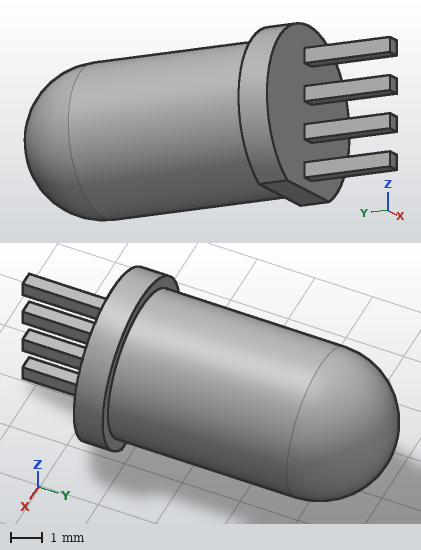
import cadquery as cq

total_length = 12.7
body_radius = 2.5
flange_diameter = 5.8
flange_thickness = 1.0
lead_length = 3.0
lead_width = 0.5
lead_pitch = 1.25
lead_count = 4

body_end = total_length - lead_length - body_radius
dome_tip = body_end + body_radius


def make_lens():
    """Cylindrical body with its hemispherical dome, revolved about Y."""
    dome_mid = body_radius * 0.5 ** 0.5
    return (
        cq.Workplane("XY")
        .lineTo(body_radius, 0)
        .lineTo(body_radius, body_end)
        .threePointArc((dome_mid, body_end + dome_mid), (0, dome_tip))
        .close()
        .revolve(360, (0, 0, 0), (0, 1, 0))
    )


def make_flange():
    """Round flange with a flat underneath, level with the bottom of the body."""
    flange_radius = flange_diameter / 2
    flange_height = flange_radius + body_radius
    disc = cq.Workplane("XZ").circle(flange_radius).extrude(-flange_thickness)
    keep = (
        cq.Workplane("XY")
        .box(flange_diameter, flange_thickness, flange_height, centered=(True, False, False))
        .translate((0, 0, -body_radius))
    )
    return disc.intersect(keep)


def make_leads():
    """Row of square leads along Z, centred on the body axis."""
    return (
        cq.Workplane("XZ")
        .rarray(lead_pitch, lead_pitch, 1, lead_count)
        .rect(lead_width, lead_width)
        .extrude(lead_length)
    )


result = make_flange().union(make_lens()).union(make_leads())